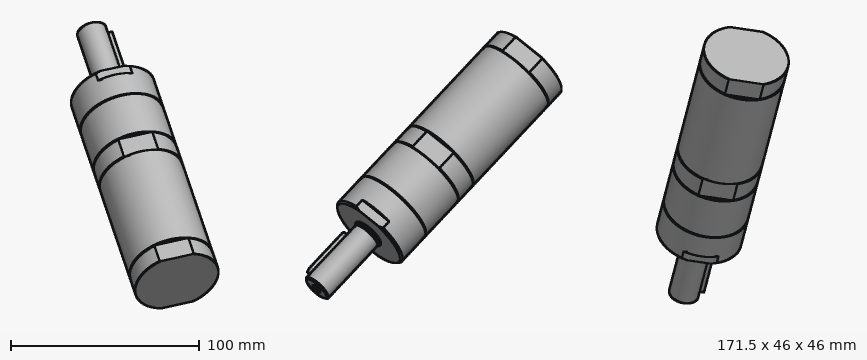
import cadquery as cq
import math

overall_length = 171.5
shaft_length = 42.0
body_length = overall_length - shaft_length
body_diameter = 46.0
body_radius = body_diameter / 2

shaft_diameter = 16.0
shaft_radius = shaft_diameter / 2
tip_chamfer_length = 0.6
tip_chamfer_depth = 1.0

collar_diameter = 17.5
collar_length = 0.8
collar_cone_diameter = 16.95
collar_cone_length = 1.2

key_width = 5.0
key_length = 30.0
key_height = 5.0
key_top = 10.0
key_tip_offset = 4.0

hole_diameter = 4.13
hole_depth = 12.5
drill_point_angle = 118.0
countersink_diameter = 5.5
countersink_angle = 90.0

front_cap_end = 19.8
gear_section_end = 46.0
motor_section_start = 58.0
motor_section_end = 118.6
front_chamfer = 1.0
joint_chamfer = 0.3
rear_chamfer = 0.2

flat_to_flat = 42.0
front_flat_length = 5.8


def turned(points):
    """Revolve an (axial, radial) outline, closed along the axis, about X."""
    return cq.Workplane("XY").polyline(points).close().revolve(360, (0, 0, 0), (1, 0, 0))


def make_shaft():
    """Shaft with a chamfered tip and a stepped collar at the body."""
    tip = -shaft_length
    collar_start = -collar_length
    cone_start = collar_start - collar_cone_length
    return turned([
        (tip, 0),
        (tip, shaft_radius - tip_chamfer_depth),
        (tip + tip_chamfer_length, shaft_radius),
        (cone_start, shaft_radius),
        (collar_start, collar_cone_diameter / 2),
        (collar_start, collar_diameter / 2),
        (front_chamfer, collar_diameter / 2),
        (front_chamfer, 0),
    ])


def make_section(start, end, start_chamfer, end_chamfer):
    """Cylindrical body section with its own chamfer at each end."""
    section = cq.Workplane("YZ", origin=(start, 0, 0)).circle(body_radius).extrude(end - start)
    return section.faces("<X").chamfer(start_chamfer).faces(">X").chamfer(end_chamfer)


def make_body():
    """Sections stacked along X."""
    sections = [
        (0, front_cap_end, front_chamfer, joint_chamfer),
        (front_cap_end, gear_section_end, joint_chamfer, joint_chamfer),
        (gear_section_end, motor_section_start, joint_chamfer, joint_chamfer),
        (motor_section_start, motor_section_end, joint_chamfer, joint_chamfer),
        (motor_section_end, body_length, joint_chamfer, rear_chamfer),
    ]
    body = make_section(*sections[0])
    for section in sections[1:]:
        body = body.union(make_section(*section))
    return body


def cut_flats(body, start, end):
    """Remove the material beyond a pair of flats between two axial positions."""
    cut_height = body_radius - flat_to_flat / 2
    for side in (1, -1):
        centre = ((start + end) / 2, 0, side * (flat_to_flat + cut_height) / 2)
        cutter = cq.Workplane("XY", origin=centre).box(end - start, body_diameter, cut_height)
        body = body.cut(cutter)
    return body


def make_key():
    """Round-ended key standing out of the shaft in +Y."""
    centre_x = -shaft_length + key_tip_offset + key_length / 2
    return (
        cq.Workplane("XZ", origin=(centre_x, key_top, 0))
        .slot2D(key_length, key_width)
        .extrude(key_height)
    )


def make_centre_hole():
    """Countersunk blind hole with a conical drill point."""
    tip = -shaft_length
    hole_radius = hole_diameter / 2
    countersink_radius = countersink_diameter / 2
    countersink_depth = (countersink_radius - hole_radius) / math.tan(math.radians(countersink_angle / 2))
    point_length = hole_radius / math.tan(math.radians(drill_point_angle / 2))
    return turned([
        (tip, 0),
        (tip, countersink_radius),
        (tip + countersink_depth, hole_radius),
        (tip + hole_depth, hole_radius),
        (tip + hole_depth + point_length, 0),
    ])


body = make_body()
flat_spans = [
    (0, front_flat_length),
    (gear_section_end, motor_section_start),
    (motor_section_end, body_length),
]
for span_start, span_end in flat_spans:
    body = cut_flats(body, span_start, span_end)

result = body.union(make_shaft()).union(make_key()).cut(make_centre_hole())